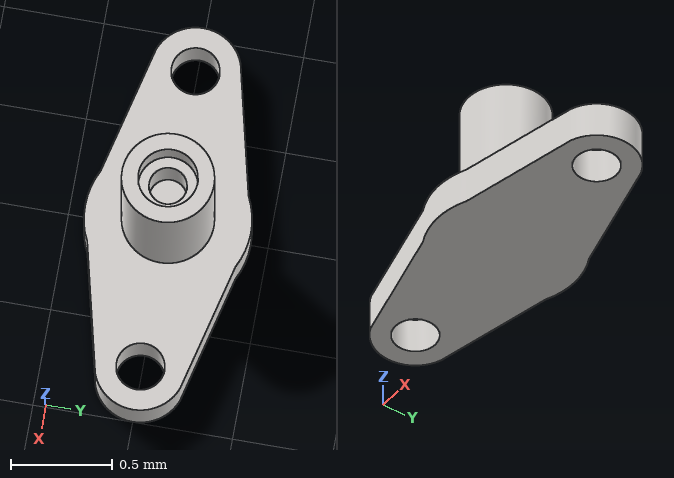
import cadquery as cq
import math

length = 2.0
width = 0.83
plate_thickness = 0.208
total_height = 0.89
end_radius = 0.225
end_center_x = length / 2 - end_radius
mounting_hole_diameter = 0.24

bulge_radius = width / 2
flank_inner_x = 0.185
flank_outer_x = 0.852

post_diameter = 0.46
bore_diameter = 0.295
bore_depth = 0.135
inner_bore_diameter = 0.188
inner_bore_depth = 0.2


def make_plate():
    inner_y = math.sqrt(bulge_radius**2 - flank_inner_x**2)
    outer_y = math.sqrt(end_radius**2 - (flank_outer_x - end_center_x) ** 2)
    return (
        cq.Workplane("XY")
        .moveTo(-flank_inner_x, inner_y)
        .threePointArc((0, bulge_radius), (flank_inner_x, inner_y))
        .lineTo(flank_outer_x, outer_y)
        .threePointArc((length / 2, 0), (flank_outer_x, -outer_y))
        .lineTo(flank_inner_x, -inner_y)
        .threePointArc((0, -bulge_radius), (-flank_inner_x, -inner_y))
        .lineTo(-flank_outer_x, -outer_y)
        .threePointArc((-length / 2, 0), (-flank_outer_x, outer_y))
        .close()
        .extrude(plate_thickness)
    )


def cylinder_below(top, diameter, depth):
    """Vertical cylinder reaching down by depth from the height top."""
    return cq.Workplane("XY").workplane(offset=top - depth).circle(diameter / 2).extrude(depth)


post = cylinder_below(total_height, post_diameter, total_height)
bore = cylinder_below(total_height, bore_diameter, bore_depth)
inner_bore = cylinder_below(total_height - bore_depth, inner_bore_diameter, inner_bore_depth)

result = make_plate().union(post).cut(bore).cut(inner_bore)
for x in (-end_center_x, end_center_x):
    hole = cylinder_below(plate_thickness, mounting_hole_diameter, plate_thickness)
    result = result.cut(hole.translate((x, 0, 0)))